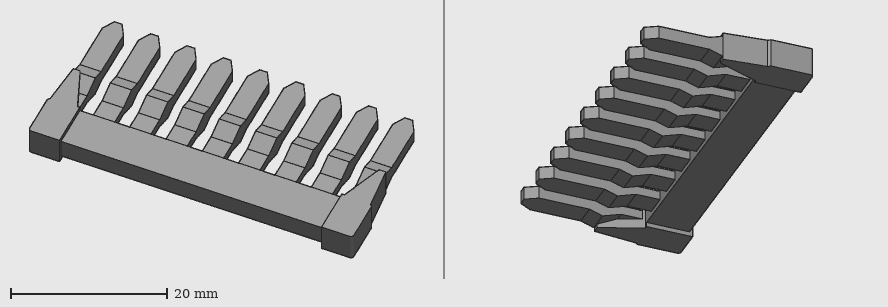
import cadquery as cq

total_length = 45.6
total_depth = 22.75

bar_front = 0.45
bar_back = 6.4
bar_height = 2.75

block_height = 4.0
block_width = 4.4
body_side_depth = 5.9
block_corner_radius = 0.4
ear_outer_start_inset = 0.27
ear_outer_start_depth = 6.25
ear_outer_tip_inset = 0.8
ear_inner_tip_inset = 1.8
ear_inner_start_inset = 4.0
ear_back = 12.18

pin_count = 9
pin_pitch = 5.1
pin_width = 3.0
tip_width = 1.1
tip_length = 1.7
blade_thickness = 1.82
crest_thickness = 3.0
neck_thickness = 1.28
neck_back = 9.7
crest_position = 12.25
blade_front = 14.1


def make_bar():
    """Straight bar that carries the pins and reaches both end blocks."""
    bar_length = total_length - 2 * block_width
    bar_depth = bar_back - bar_front
    return cq.Workplane("XY").box(bar_length, bar_depth, bar_height).translate(
        (0, bar_front + bar_depth / 2, 0)
    )


def make_left_block():
    """End block at -X, with its outer front edge rounded."""
    inset_outline = [
        (0, 0),
        (block_width, 0),
        (block_width, bar_back),
        (ear_inner_start_inset, bar_back),
        (ear_inner_tip_inset, ear_back),
        (ear_outer_tip_inset, ear_back),
        (ear_outer_start_inset, ear_outer_start_depth),
        (0, body_side_depth),
    ]
    outline = [(inset - total_length / 2, y) for inset, y in inset_outline]
    block = cq.Workplane("XY").polyline(outline).close().extrude(block_height / 2, both=True)
    return block.edges("|Z and <X and <Y").fillet(block_corner_radius)


def make_pin(center_x):
    """Pin with a thin neck, a thick crest, and a flat blade tapering to its tip."""
    half_profile = [
        (bar_front, neck_thickness / 2),
        (neck_back, neck_thickness / 2),
        (crest_position, crest_thickness / 2),
        (blade_front, blade_thickness / 2),
        (total_depth, blade_thickness / 2),
    ]
    lower_profile = [(y, -z) for y, z in reversed(half_profile)]
    side_body = (
        cq.Workplane("YZ").polyline(half_profile + lower_profile).close().extrude(pin_width / 2, both=True)
    )

    tip_start = total_depth - tip_length
    right_outline = [
        (pin_width / 2, bar_front),
        (pin_width / 2, tip_start),
        (tip_width / 2, total_depth),
    ]
    left_outline = [(-x, y) for x, y in reversed(right_outline)]
    plan_body = (
        cq.Workplane("XY").polyline(right_outline + left_outline).close().extrude(crest_thickness, both=True)
    )
    return side_body.intersect(plan_body).translate((center_x, 0, 0))


left_block = make_left_block()
result = make_bar().union(left_block).union(left_block.mirror("YZ"))

for pin_index in range(pin_count):
    pin_x = (pin_index - (pin_count - 1) / 2) * pin_pitch
    result = result.union(make_pin(pin_x))